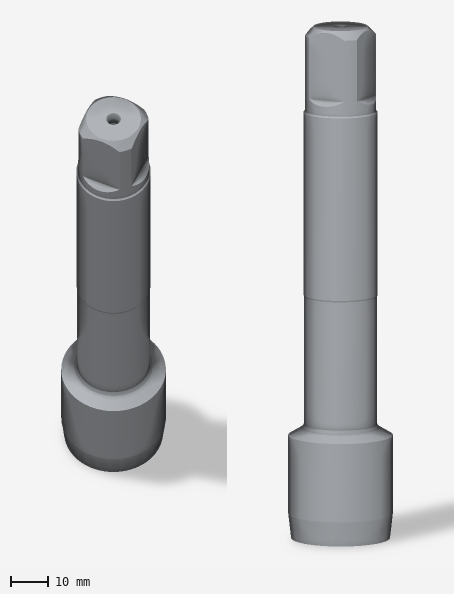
import cadquery as cq
import math

total_length = 140.0
lead_length = 7.0
tip_cone_height = 0.3
head_length = 28.0
collar_rim_height = 0.4
collar_cone_height = 2.1
neck_cone_height = 0.8
neck_end = 66.8
shank_length = 50.3
shank_end = neck_end + shank_length

head_diameter = 28.1
lead_tip_diameter = 26.6
collar_tip_diameter = 21.0
neck_diameter = 19.7
shank_diameter = 20.0
drive_diameter = 19.2
drive_face_diameter = 14.7
center_mouth_diameter = 3.9
center_hole_diameter = 2.5

square_width = 15.8
square_length = 19.0
shank_chamfer_height = 0.4
run_out_angle = 40.0

countersink_angle = 45.0
drill_point_angle = 120.0
center_hole_depth = 3.5


def make_cutting_head():
    """Cylindrical cutting head that tapers at its lower lead."""
    return (
        cq.Workplane("XZ")
        .moveTo(0, 0)
        .lineTo(lead_tip_diameter / 2, tip_cone_height)
        .lineTo(head_diameter / 2, lead_length)
        .lineTo(head_diameter / 2, head_length)
        .lineTo(0, head_length)
        .close()
        .revolve(360, (0, 0, 0), (0, 1, 0))
    )


def make_turned_shank():
    """Collar cone, neck, shank and round drive end, turned about Z."""
    rim_top = head_length + collar_rim_height
    collar_top = rim_top + collar_cone_height
    drive_chamfer = (drive_diameter - drive_face_diameter) / 2
    return (
        cq.Workplane("XZ")
        .moveTo(0, head_length)
        .lineTo(head_diameter / 2, head_length)
        .lineTo(head_diameter / 2, rim_top)
        .lineTo(collar_tip_diameter / 2, collar_top)
        .lineTo(neck_diameter / 2, collar_top + neck_cone_height)
        .lineTo(neck_diameter / 2, neck_end - shank_chamfer_height)
        .lineTo(shank_diameter / 2, neck_end)
        .lineTo(shank_diameter / 2, shank_end - shank_chamfer_height)
        .lineTo(drive_diameter / 2, shank_end)
        .lineTo(drive_diameter / 2, total_length - drive_chamfer)
        .lineTo(drive_face_diameter / 2, total_length)
        .lineTo(0, total_length)
        .close()
        .revolve(360, (0, 0, 0), (0, 1, 0))
    )


def make_flat_cutter():
    """Cutter for the flat on +X, with a sloped run-out at its lower end."""
    flat = square_width / 2
    flat_bottom = total_length - square_length
    reach = shank_diameter / 2 - flat
    run_out_drop = reach * math.tan(math.radians(run_out_angle))
    return (
        cq.Workplane("XZ")
        .moveTo(flat, total_length)
        .lineTo(flat, flat_bottom)
        .lineTo(flat + reach, flat_bottom - run_out_drop)
        .lineTo(flat + reach, total_length)
        .close()
        .extrude(shank_diameter / 2, both=True)
    )


def make_center_hole():
    """Countersunk center hole with a conical bottom, in the drive end."""
    mouth_radius = center_mouth_diameter / 2
    hole_radius = center_hole_diameter / 2
    sink_depth = (mouth_radius - hole_radius) / math.tan(math.radians(countersink_angle / 2))
    point_height = hole_radius / math.tan(math.radians(drill_point_angle / 2))
    hole_bottom = total_length - center_hole_depth
    return (
        cq.Workplane("XZ")
        .moveTo(0, total_length)
        .lineTo(mouth_radius, total_length)
        .lineTo(hole_radius, total_length - sink_depth)
        .lineTo(hole_radius, hole_bottom)
        .lineTo(0, hole_bottom - point_height)
        .close()
        .revolve(360, (0, 0, 0), (0, 1, 0))
    )


def make_shank():
    """Shank with its driving square and center hole."""
    body = make_turned_shank()
    flat_cutter = make_flat_cutter()
    for angle in (0, 90, 180, 270):
        body = body.cut(flat_cutter.rotate((0, 0, 0), (0, 0, 1), angle))
    return body.cut(make_center_hole())


cutting_head = make_cutting_head()
shank = make_shank()
result = cq.Compound.makeCompound([cutting_head.val(), shank.val()])